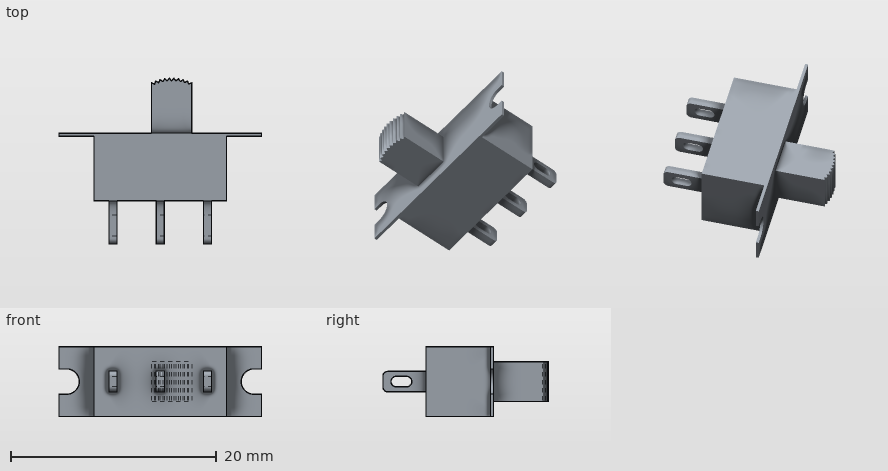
import cadquery as cq
import math

plate_length = 19.7
height = 6.8
plate_thickness = 0.3
body_length = 12.88
body_depth = 6.58
notch_depth = 1.97
notch_width = 2.45

pin_count = 3
pin_pitch = 4.59
pin_thickness = 0.8
pin_width = 2.0
pin_length = 4.2
pin_corner_radius = 0.5
eyelet_length = 2.0
eyelet_width = 1.0
eyelet_end_margin = 0.8

slider_offset = 1.1
slider_width = 3.94
slider_height = 3.88
slider_length = 5.35
tooth_tip_count = 10
crown_radius = 4.59
tooth_depth = 0.25


def centered_box(length, depth, box_height, front_y, center_x=0):
    """Box centered on Z = 0, extending toward +Y from front_y."""
    return (
        cq.Workplane("XY")
        .box(length, depth, box_height, centered=(True, False, True))
        .translate((center_x, front_y, 0))
    )


def make_plate():
    """Mounting plate with a round-bottomed notch in each end."""
    plate = centered_box(plate_length, plate_thickness, height, -plate_thickness)
    notches = (
        cq.Workplane("XZ")
        .pushPoints([(-plate_length / 2, 0), (plate_length / 2, 0)])
        .slot2D(2 * notch_depth, notch_width)
        .extrude(plate_thickness)
    )
    return plate.cut(notches)


def make_pin(center_x):
    """Flat pin with rounded free corners and an eyelet through its thickness."""
    tip_y = -body_depth - pin_length
    eyelet_y = tip_y + eyelet_end_margin + eyelet_length / 2
    pin = centered_box(pin_thickness, pin_length, pin_width, tip_y, center_x)
    pin = pin.faces("<Y").edges("|X").fillet(pin_corner_radius)
    eyelet = (
        cq.Workplane("YZ", origin=(center_x, 0, 0))
        .center(eyelet_y, 0)
        .slot2D(eyelet_length, eyelet_width)
        .extrude(pin_thickness, both=True)
    )
    return pin.cut(eyelet)


def make_slider():
    """Slider whose tooth tips and roots lie on two concentric arcs."""
    half_width = slider_width / 2
    half_span = math.asin(half_width / crown_radius)
    tooth_angle = 2 * half_span / (tooth_tip_count - 1)
    crown_center_y = slider_length - crown_radius * math.cos(tooth_angle / 2)

    crown_points = []
    for i in range(2 * tooth_tip_count - 1):
        angle = -half_span + i * tooth_angle / 2
        radius = crown_radius - tooth_depth * (i % 2)
        crown_points.append((radius * math.sin(angle), crown_center_y + radius * math.cos(angle)))

    outline = [(half_width, 0), (-half_width, 0)] + crown_points
    return (
        cq.Workplane("XY")
        .polyline(outline)
        .close()
        .extrude(slider_height / 2, both=True)
        .translate((slider_offset, 0, 0))
    )


result = make_plate().union(centered_box(body_length, body_depth, height, -body_depth))
for pin_index in range(pin_count):
    pin_x = (pin_index - (pin_count - 1) / 2) * pin_pitch
    result = result.union(make_pin(pin_x))
result = result.union(make_slider())